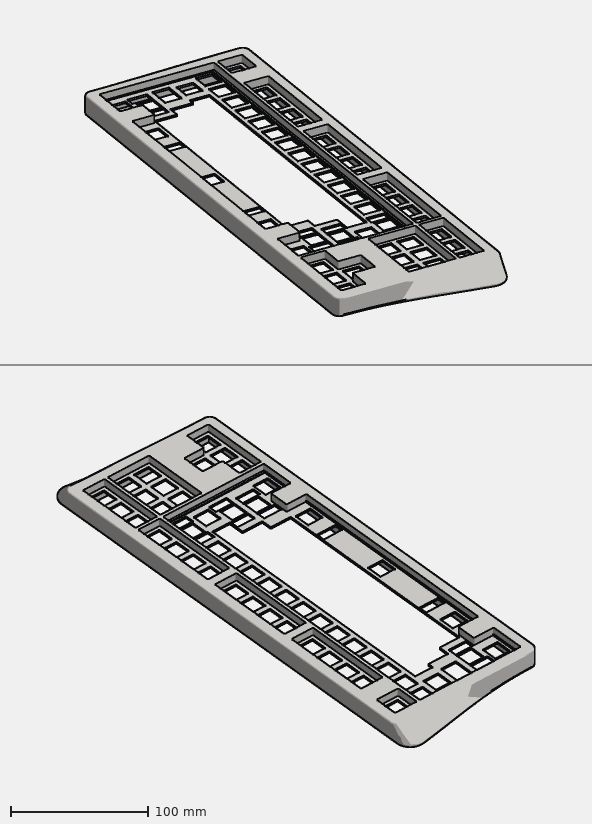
import cadquery as cq
import math

WING_SPAN = 408.0
DEPTH = 140.0
HEIGHT = 17.0
TOP_SPAN = 369.5
FRONT_SPAN = 367.0
CORNER_RADIUS = 6.5
WING_CORNER_RADIUS = 15.0
WING_ANGLE = 13.0
EDGE_ROUNDING = 2.0

FIELD_LENGTH = 347.8
ROW_GAP = 0.25
BLOCK_GAP = 0.25
MAIN_UNITS = 15
NAV_UNITS = 3
ROWS = 6
LAST_ROW = ROWS - 1
NAV_START = MAIN_UNITS + BLOCK_GAP
NAV_END = NAV_START + NAV_UNITS
PITCH = FIELD_LENGTH / NAV_END
FIELD_DEPTH = (ROWS + ROW_GAP) * PITCH

WELL_CLEARANCE = 1.0
WELL_DEPTH = 7.0
WELL_CORNER_RADIUS = 1.0
PLATE_THICKNESS = 1.5
PLATE_TOP = HEIGHT - WELL_DEPTH
PLATE_BOTTOM = PLATE_TOP - PLATE_THICKNESS
LEDGE_HEIGHT = 1.0
WIDE_LEDGE = 2.0
NARROW_LEDGE = 1.0

SWITCH_SIZE = 14.0
STABILIZER_WIDTH = 7.5
STABILIZER_OFFSET = 12.0
SPACE_BAR_OFFSET = 57.5
SLOT_SHORT = SWITCH_SIZE / 2
SLOT_MIDDLE = 8.5
SLOT_LONG = 9.5

FUNCTION_GROUPS = [(0, 1), (2, 6), (6.5, 10.5), (11, 15), (NAV_START, NAV_END)]
BOTTOM_ROW_GROUPS = [(0, 1.5), (2.5, 12.5), (13.5, MAIN_UNITS)]

NAV_CENTERS = [NAV_START + 0.5 + index for index in range(NAV_UNITS)]
FUNCTION_CENTERS = [
    start + 0.5 + index for start, end in FUNCTION_GROUPS for index in range(int(end - start))
]
BACKSPACE = 14
ENTER = 13.875
LEFT_SHIFT = 1.125
RIGHT_SHIFT = 13.625
SPACE_BAR = 7.5
CAPS_LOCK_POSITIONS = [0.625, 0.875]
SWITCH_CENTERS = [
    FUNCTION_CENTERS,
    [index + 0.5 for index in range(13)] + [BACKSPACE] + NAV_CENTERS,
    [0.75, 14.25] + NAV_CENTERS,
    CAPS_LOCK_POSITIONS + [ENTER],
    [LEFT_SHIFT, RIGHT_SHIFT, NAV_CENTERS[1]],
    [0.75, 3.25, SPACE_BAR, 11.75, 14.25] + NAV_CENTERS,
]

STABILIZED_KEYS = [
    (BACKSPACE, 1, STABILIZER_OFFSET, SLOT_SHORT, SLOT_MIDDLE),
    (ENTER, 3, STABILIZER_OFFSET, SLOT_LONG, SLOT_SHORT),
    (LEFT_SHIFT, 4, STABILIZER_OFFSET, SLOT_SHORT, SLOT_LONG),
    (RIGHT_SHIFT, 4, STABILIZER_OFFSET, SLOT_SHORT, SLOT_LONG),
    (SPACE_BAR, 5, SPACE_BAR_OFFSET, SLOT_LONG, SLOT_MIDDLE),
]

OPENING_BACK_INSET = 1.5
OPENING_LIMITS = {2: (1.5, 13.5), 3: (1.75, 12.75), 4: (2.25, 12.25)}


def column_x(units):
    """X of a position counted in key units from the left end of the key field."""
    return units * PITCH - FIELD_LENGTH / 2


def row_top_y(row):
    """Y of the upper edge of a key row; row 0 is the function row at the back."""
    gap = ROW_GAP if row > 0 else 0
    return FIELD_DEPTH / 2 - (row + gap) * PITCH


def row_y(row):
    return row_top_y(row) - PITCH / 2


def box_between(x_min, x_max, y_min, y_max, z_min, z_max):
    return (
        cq.Workplane("XY", origin=(0, 0, z_min))
        .center((x_min + x_max) / 2, (y_min + y_max) / 2)
        .rect(x_max - x_min, y_max - y_min)
        .extrude(z_max - z_min)
    )


def body_outline(z, back_span, back_radius, side_angle):
    """Closed outline at height z; its sides swing out from the front to the back corners."""
    front = -DEPTH / 2
    back = DEPTH / 2
    angle = math.radians(side_angle)
    reach = back_radius * math.cos(angle)
    center_x = back_span / 2 - back_radius
    center_y = back - back_radius
    side_back = (center_x + reach, center_y - back_radius * math.sin(angle))
    middle_angle = math.radians(45 - side_angle / 2)
    back_middle = (
        center_x + back_radius * math.cos(middle_angle),
        center_y + back_radius * math.sin(middle_angle),
    )
    front_half = FRONT_SPAN / 2
    side_front = (front_half, front + CORNER_RADIUS)
    front_end = front_half - CORNER_RADIUS
    diagonal = CORNER_RADIUS * (1 - math.sqrt(0.5))
    front_middle = (front_half - diagonal, front + diagonal)

    def mirrored(point):
        return (-point[0], point[1])

    side_lean = (math.sin(angle), math.cos(angle))
    return (
        cq.Workplane("XY", origin=(0, 0, z))
        .moveTo(-front_end, front)
        .lineTo(front_end, front)
        .threePointArc(front_middle, side_front)
        .spline([side_back], tangents=[(0, 1), side_lean], includeCurrent=True)
        .threePointArc(back_middle, (center_x, back))
        .lineTo(-center_x, back)
        .threePointArc(mirrored(back_middle), mirrored(side_back))
        .spline(
            [mirrored(side_front)],
            tangents=[(side_lean[0], -side_lean[1]), (0, -1)],
            includeCurrent=True,
        )
        .threePointArc(mirrored(front_middle), (-front_end, front))
        .close()
        .wires()
        .val()
    )


def body():
    """Slab whose sloping ends flare into wings toward the back, with rounded rims."""
    bottom = body_outline(0, WING_SPAN, WING_CORNER_RADIUS, WING_ANGLE)
    top = body_outline(HEIGHT, TOP_SPAN, CORNER_RADIUS, 0)
    slab = cq.Workplane(cq.Solid.makeLoft([bottom, top], True))
    return slab.faces("<Z or >Z").edges().fillet(EDGE_ROUNDING)


def key_area(start, end, first_row, last_row, z_min, z_max):
    """Block over a span of keys, widened by the well clearance."""
    return box_between(
        column_x(start) - WELL_CLEARANCE,
        column_x(end) + WELL_CLEARANCE,
        row_top_y(last_row) - PITCH - WELL_CLEARANCE,
        row_top_y(first_row) + WELL_CLEARANCE,
        z_min,
        z_max,
    )


def rounded_well(blocks):
    """Join overlapping blocks into one well with rounded vertical corners."""
    well = blocks[0]
    for block in blocks[1:]:
        well = well.union(block)
    return well.edges("|Z").fillet(WELL_CORNER_RADIUS)


def well_area(start, end, first_row, last_row):
    return key_area(start, end, first_row, last_row, PLATE_TOP, HEIGHT)


def main_ledge():
    """Low frame left standing on the plate along the walls of the main well."""
    outer = key_area(0, MAIN_UNITS, 1, LAST_ROW, PLATE_TOP, PLATE_TOP + LEDGE_HEIGHT)
    bounds = outer.val().BoundingBox()
    inner = box_between(
        bounds.xmin + NARROW_LEDGE,
        bounds.xmax - WIDE_LEDGE,
        bounds.ymin + NARROW_LEDGE,
        bounds.ymax - WIDE_LEDGE,
        bounds.zmin,
        bounds.zmax,
    )
    return outer.cut(inner)


def main_well():
    blocks = [well_area(0, MAIN_UNITS, 1, LAST_ROW - 1)]
    blocks += [well_area(start, end, LAST_ROW - 1, LAST_ROW) for start, end in BOTTOM_ROW_GROUPS]
    return rounded_well(blocks).cut(main_ledge())


def arrow_well():
    """T-shaped well: one key above a row of three."""
    up_key = well_area(NAV_START + 1, NAV_START + 2, LAST_ROW - 1, LAST_ROW)
    return rounded_well([up_key, well_area(NAV_START, NAV_END, LAST_ROW, LAST_ROW)])


def key_wells():
    wells = [rounded_well([well_area(start, end, 0, 0)]) for start, end in FUNCTION_GROUPS]
    navigation_well = rounded_well([well_area(NAV_START, NAV_END, 1, 2)])
    return wells + [navigation_well, arrow_well(), main_well()]


def plate_opening(x, width, y_min, y_max):
    return box_between(x - width / 2, x + width / 2, y_min, y_max, PLATE_BOTTOM, PLATE_TOP)


def switch_openings():
    half = SWITCH_SIZE / 2
    return [
        plate_opening(column_x(center), SWITCH_SIZE, row_y(row) - half, row_y(row) + half)
        for row, centers in enumerate(SWITCH_CENTERS)
        for center in centers
    ]


def stabilizer_slots():
    slots = []
    for center, row, offset, back_reach, front_reach in STABILIZED_KEYS:
        for side in (-1, 1):
            x = column_x(center) + side * offset
            y = row_y(row)
            slots.append(plate_opening(x, STABILIZER_WIDTH, y - front_reach, y + back_reach))
    return slots


def central_opening():
    """Stepped opening that replaces the inner keys of rows 2 to 4."""
    pieces = []
    y_max = row_top_y(min(OPENING_LIMITS)) - OPENING_BACK_INSET
    for row, (start, end) in OPENING_LIMITS.items():
        x_min = column_x(start) + WELL_CLEARANCE
        x_max = column_x(end) - WELL_CLEARANCE
        y_min = row_top_y(row + 1) + WELL_CLEARANCE
        pieces.append(box_between(x_min, x_max, y_min, y_max, PLATE_BOTTOM, PLATE_TOP))
        y_max = y_min
    return pieces


def underside_cavity():
    """Hollow below the plate, open at the bottom."""
    return key_area(0, NAV_END, 0, LAST_ROW, 0, PLATE_BOTTOM)


def cut_all(solid, tools):
    cutters = [tool.val() for tool in tools]
    return cq.Workplane(solid.val().cut(*cutters))


result = body().cut(underside_cavity())
result = cut_all(result, key_wells())
result = cut_all(result, switch_openings() + stabilizer_slots() + central_opening())